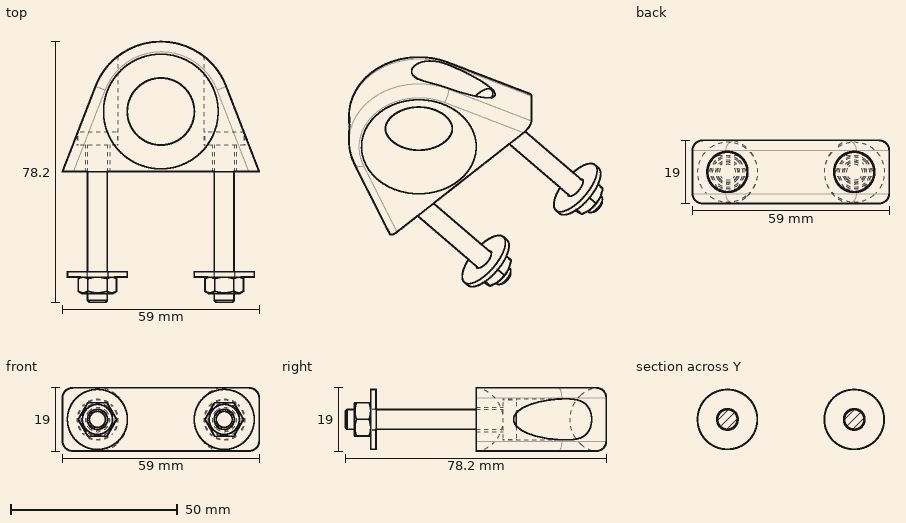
import cadquery as cq
import math

BODY_WIDTH = 59.0
BODY_HEIGHT = 39.0
BODY_THICKNESS = 19.0
EYE_CENTRE_Y = 18.0
EYE_OUTER_RADIUS = BODY_HEIGHT - EYE_CENTRE_Y
EDGE_FILLET = 3.0
BORE_DIAMETER = 20.0
BORE_MOUTH_DIAMETER = 34.4

BOLT_SPACING = 38.0
BOLT_DIAMETER = 6.0
BOLT_HOLE_DIAMETER = 7.25
BOLT_TIP_Y = -39.2
BOLT_TIP_CHAMFER = 0.6
COUNTERBORE_DIAMETER = 12.3
HEAD_DIAMETER = 11.8
HEAD_TOP_Y = 12.0
HEAD_HEIGHT = 4.0
SEAT_Y = HEAD_TOP_Y - HEAD_HEIGHT

WASHER_TOP_Y = -30.0
WASHER_THICKNESS = 1.6
WASHER_DIAMETER = 18.0
WASHER_HOLE_DIAMETER = 6.4

NUT_TOP_Y = WASHER_TOP_Y - WASHER_THICKNESS
NUT_HEIGHT = 5.0
NUT_ACROSS_FLATS = 10.0
NUT_BEARING_DIAMETER = 9.9
NUT_END_DIAMETER = 9.0
NUT_CHAMFER_ANGLE = math.radians(30)


def cylinder_along_y(x, diameter, y_start, y_end):
    """Cylinder parallel to Y, centred on (x, z = 0), between two Y levels."""
    length = y_end - y_start
    return cq.Workplane(cq.Solid.makeCylinder(
        diameter / 2, length, cq.Vector(x, y_start, 0), cq.Vector(0, 1, 0)))


def make_body():
    """Eye outline: a flat base, two sides tangent to the outer arc, rounded long edges."""
    half_width = BODY_WIDTH / 2
    corner_distance = math.hypot(half_width, EYE_CENTRE_Y)
    tangent_angle = (math.acos(EYE_OUTER_RADIUS / corner_distance)
                     - math.atan2(EYE_CENTRE_Y, half_width))
    tangent_x = EYE_OUTER_RADIUS * math.cos(tangent_angle)
    tangent_y = EYE_CENTRE_Y + EYE_OUTER_RADIUS * math.sin(tangent_angle)
    body = (
        cq.Workplane("XY")
        .moveTo(-half_width, 0)
        .lineTo(half_width, 0)
        .lineTo(tangent_x, tangent_y)
        .threePointArc((0, BODY_HEIGHT), (-tangent_x, tangent_y))
        .close()
        .extrude(BODY_THICKNESS / 2, both=True)
    )
    base_edges = cq.selectors.BoxSelector(
        (-BODY_WIDTH, -1, -BODY_THICKNESS), (BODY_WIDTH, 1, BODY_THICKNESS))
    long_edges = cq.selectors.StringSyntaxSelector(">Z or <Z") - base_edges
    return body.edges(long_edges).fillet(EDGE_FILLET)


def make_bore():
    """Through bore of the eye, narrowest at mid-thickness and flared by an arc to each face."""
    bore_radius = BORE_DIAMETER / 2
    mouth_radius = BORE_MOUTH_DIAMETER / 2
    half_thickness = BODY_THICKNESS / 2
    flare_depth = mouth_radius - bore_radius
    flare_radius = (half_thickness**2 + flare_depth**2) / (2 * flare_depth)
    return (
        cq.Workplane("XZ", origin=(0, EYE_CENTRE_Y, 0))
        .moveTo(0, -half_thickness)
        .lineTo(mouth_radius, -half_thickness)
        .radiusArc((bore_radius, 0), flare_radius)
        .radiusArc((mouth_radius, half_thickness), flare_radius)
        .lineTo(0, half_thickness)
        .close()
        .revolve(360, (0, 0, 0), (0, 1, 0))
    )


def make_bolt_clearance(x):
    """Bolt hole from the base, opening into a counterbore that runs out of the side."""
    hole = cylinder_along_y(x, BOLT_HOLE_DIAMETER, 0, SEAT_Y)
    counterbore = cylinder_along_y(x, COUNTERBORE_DIAMETER, SEAT_Y, BODY_HEIGHT)
    return hole.union(counterbore)


def make_bolt(x):
    """Round-headed bolt with a chamfered tip."""
    shank = cylinder_along_y(x, BOLT_DIAMETER, BOLT_TIP_Y, SEAT_Y)
    shank = shank.faces("<Y").chamfer(BOLT_TIP_CHAMFER)
    head = cylinder_along_y(x, HEAD_DIAMETER, SEAT_Y, HEAD_TOP_Y)
    return shank.union(head)


def make_washer(x):
    washer_bottom_y = WASHER_TOP_Y - WASHER_THICKNESS
    disc = cylinder_along_y(x, WASHER_DIAMETER, washer_bottom_y, WASHER_TOP_Y)
    return disc.cut(cylinder_along_y(x, WASHER_HOLE_DIAMETER, washer_bottom_y, WASHER_TOP_Y))


def make_nut(x):
    """Hexagon nut whose corners are trimmed by a cone at each end."""
    across_corners = NUT_ACROSS_FLATS / math.cos(math.pi / 6)
    corner_radius = across_corners / 2
    bearing_radius = NUT_BEARING_DIAMETER / 2
    end_radius = NUT_END_DIAMETER / 2
    bearing_drop = (corner_radius - bearing_radius) * math.tan(NUT_CHAMFER_ANGLE)
    end_drop = (corner_radius - end_radius) * math.tan(NUT_CHAMFER_ANGLE)
    nut_end_y = NUT_TOP_Y - NUT_HEIGHT
    hexagon = (
        cq.Workplane("XZ", origin=(x, NUT_TOP_Y, 0))
        .polygon(6, across_corners)
        .extrude(NUT_HEIGHT)
    )
    envelope = (
        cq.Workplane("XY", origin=(x, 0, 0))
        .moveTo(0, NUT_TOP_Y)
        .lineTo(bearing_radius, NUT_TOP_Y)
        .lineTo(corner_radius, NUT_TOP_Y - bearing_drop)
        .lineTo(corner_radius, nut_end_y + end_drop)
        .lineTo(end_radius, nut_end_y)
        .lineTo(0, nut_end_y)
        .close()
        .revolve(360, (0, 0, 0), (0, 1, 0))
    )
    return hexagon.intersect(envelope)


result = make_body().cut(make_bore())
for bolt_x in (-BOLT_SPACING / 2, BOLT_SPACING / 2):
    result = result.cut(make_bolt_clearance(bolt_x))
    fastener = make_bolt(bolt_x).union(make_nut(bolt_x)).union(make_washer(bolt_x))
    result = result.union(fastener)